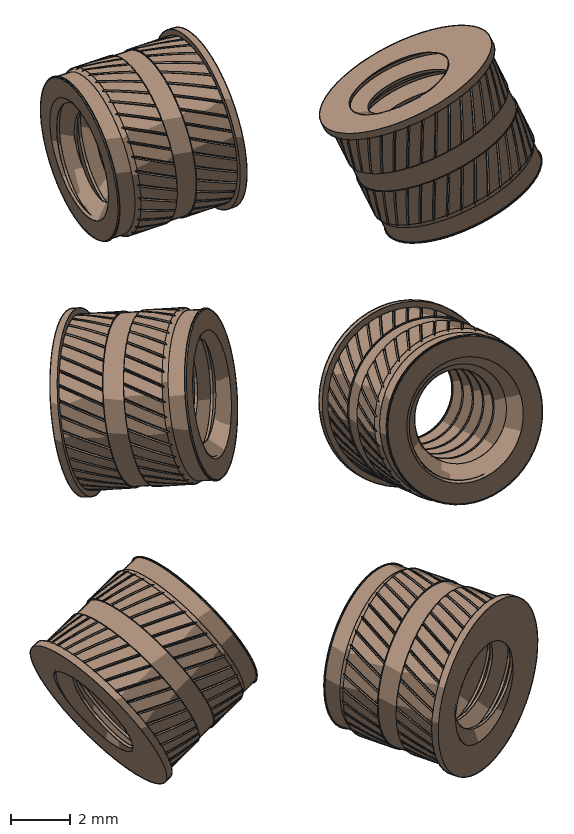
import cadquery as cq
import math


length = 4.7
flange_radius = 6.35 / 2
flange_thickness = 0.26

pilot_radius = 2.87
pilot_length = 0.64
lip_radius = 2.91
lip_height = 0.055

knurl_radius = 2.97
knurl_start = 0.82
relief_radius = 2.925
relief_start = 2.18
relief_end = 2.91
flange_start = length - flange_thickness

groove_count = 36
groove_depth = 0.042
groove_helix_angle = 26.3
groove_overcut = 0.03

thread_pitch = 25.4 / 32
major_radius = 4.166 / 2
minor_radius = 1.57
root_flat = thread_pitch / 8
flank_angle = 30.0
thread_overcut = 0.04
root_height = 0.078

countersink_radius = 2.165


def make_body():
    """Turned outside shape of the insert, still solid."""
    outline = [
        (0, 0),
        (pilot_radius, 0),
        (lip_radius, lip_height),
        (pilot_radius, lip_height),
        (pilot_radius, pilot_length),
        (knurl_radius, knurl_start),
        (knurl_radius, relief_start),
        (relief_radius, relief_start),
        (relief_radius, relief_end),
        (knurl_radius, relief_end),
        (knurl_radius, flange_start),
        (flange_radius, flange_start),
        (flange_radius, length),
        (0, length),
    ]
    return cq.Workplane("YZ").polyline(outline).close().revolve(360, (0, 0), (0, 1))


def make_groove_cutter():
    """One twisted V-shaped bar, running from the pilot up to the flange."""
    helix_slope = math.tan(math.radians(groove_helix_angle))
    run = flange_start - pilot_length
    twist = math.degrees(run * helix_slope / knurl_radius)
    half_width = (groove_depth + groove_overcut) / math.cos(math.radians(groove_helix_angle))
    bottom_radius = knurl_radius - groove_depth
    outer_radius = knurl_radius + groove_overcut
    cutter = (
        cq.Workplane("XY", origin=(0, 0, pilot_length))
        .polyline([(bottom_radius, 0), (outer_radius, -half_width), (outer_radius, half_width)])
        .close()
        .twistExtrude(run, twist)
    )
    return cutter.rotate((0, 0, 0), (0, 0, 1), -twist)


def cut_knurl(body):
    groove = make_groove_cutter().val()
    grooves = [
        groove.rotate(cq.Vector(0, 0, 0), cq.Vector(0, 0, 1), i * 360 / groove_count)
        for i in range(groove_count)
    ]
    return body.cut(cq.Workplane(cq.Compound.makeCompound(grooves)))


def make_thread_cutter():
    """Right-hand helical bar with the section of the thread groove."""
    inner_radius = minor_radius - thread_overcut
    root_half = root_flat / 2
    mouth_half = root_half + (major_radius - inner_radius) * math.tan(math.radians(flank_angle))
    start = root_height - thread_pitch / 4 - thread_pitch
    run = length + thread_pitch - start
    helix = cq.Wire.makeHelix(thread_pitch, run, minor_radius)
    cutter = (
        cq.Workplane("XZ")
        .polyline(
            [
                (inner_radius, -mouth_half),
                (major_radius, -root_half),
                (major_radius, root_half),
                (inner_radius, mouth_half),
            ]
        )
        .close()
        .sweep(cq.Workplane(helix), isFrenet=True)
    )
    return cutter.translate((0, 0, start))


def cut_threaded_bore(body):
    bore = cq.Workplane("XY").circle(minor_radius).extrude(length)
    return body.cut(make_thread_cutter()).cut(bore)


def cut_countersink(body):
    cone = (
        cq.Workplane("YZ")
        .polyline([(0, 0), (countersink_radius, 0), (0, countersink_radius)])
        .close()
        .revolve(360, (0, 0), (0, 1))
    )
    return body.cut(cone)


insert = make_body()
insert = cut_threaded_bore(insert)
insert = cut_countersink(insert)
insert = cut_knurl(insert)
result = insert.rotate((0, 0, 0), (1, 0, 0), -90)